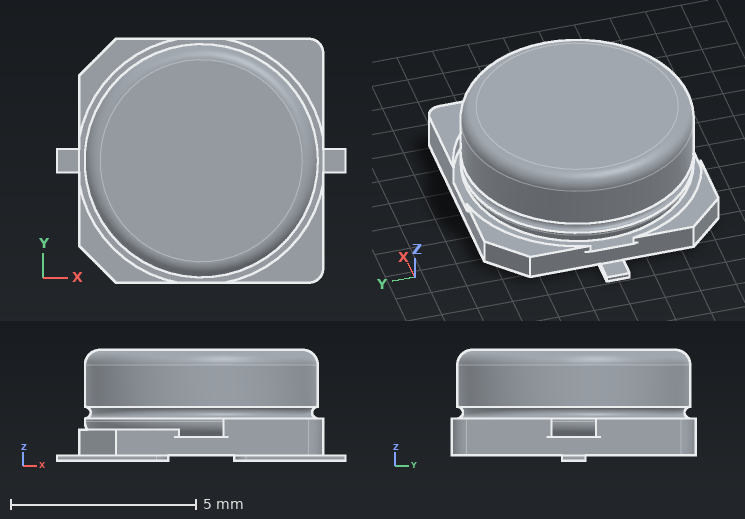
import cadquery as cq

overall_length = 7.8
overall_height = 3.0

lead_width = 0.65
lead_thickness = 0.15
lead_gap = 1.78

base_side = 6.6
base_chamfer = 1.0
base_corner_radius = 0.405
base_low_top = 0.84
base_high_top = 1.15
recess_floor = 0.64
recess_radius = 3.355

can_radius = 6.3 / 2
can_edge_radius = 0.42
groove_radius = 0.155
groove_center_z = base_high_top + groove_radius


def make_base():
    """Square base, low on the chamfered -X side and high on the +X side, with a round recess."""
    base = (
        cq.Workplane("XY")
        .workplane(offset=lead_thickness)
        .rect(base_side, base_side)
        .extrude(base_high_top - lead_thickness)
    )
    base = base.edges("|Z and <X").chamfer(base_chamfer)
    base = base.edges("|Z and >X").fillet(base_corner_radius)

    low_side = (
        cq.Workplane("XY")
        .workplane(offset=base_low_top)
        .center(-base_side / 2, 0)
        .rect(base_side, base_side)
        .extrude(base_high_top - base_low_top)
    )
    recess = (
        cq.Workplane("XY")
        .workplane(offset=recess_floor)
        .circle(recess_radius)
        .extrude(base_high_top - recess_floor)
    )
    return base.cut(low_side).cut(recess)


def make_can():
    """Round can with rounded ends and a crimp groove of semicircular section."""
    can = (
        cq.Workplane("XY")
        .workplane(offset=recess_floor)
        .circle(can_radius)
        .extrude(overall_height - recess_floor)
    )
    can = can.faces("<Z or >Z").edges().fillet(can_edge_radius)
    groove = (
        cq.Workplane("XZ")
        .center(can_radius, groove_center_z)
        .circle(groove_radius)
        .revolve(360, (-can_radius, 0), (-can_radius, 1))
    )
    return can.cut(groove)


def make_lead(side):
    """Flat terminal with a full-round inner end; side is -1 or +1 along X."""
    lead_end_radius = lead_width / 2
    inner_x = side * lead_gap / 2
    round_start_x = inner_x + side * lead_end_radius
    outer_x = side * overall_length / 2
    return (
        cq.Workplane("XY")
        .moveTo(outer_x, -lead_end_radius)
        .lineTo(round_start_x, -lead_end_radius)
        .threePointArc((inner_x, 0), (round_start_x, lead_end_radius))
        .lineTo(outer_x, lead_end_radius)
        .close()
        .extrude(lead_thickness)
    )


result = make_base().union(make_can())
for lead_side in (-1, 1):
    result = result.union(make_lead(lead_side))